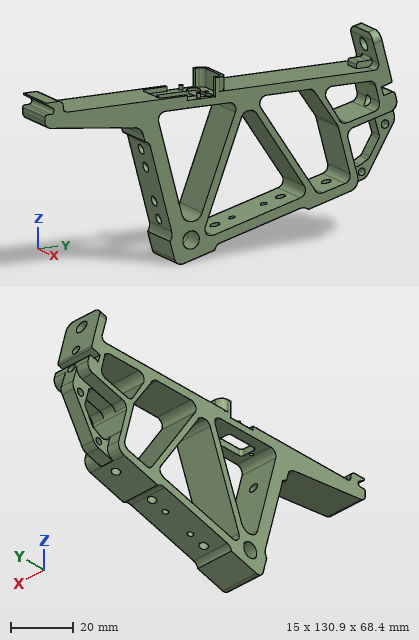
import cadquery as cq
import math


WIDTH = 15.0
TAB_WIDTH = 5.2
TILT = math.radians(15)

ALONG_BOTTOM = (math.cos(TILT), math.sin(TILT))
ALONG_GRIP = (math.sin(TILT), -math.cos(TILT))
UP_INTO_BOTTOM = (-math.sin(TILT), math.cos(TILT))
BACK_INTO_GRIP = ALONG_BOTTOM
FORWARD_INTO_PLATE = (-math.cos(TILT), -math.sin(TILT))

WINDOW_R = 2.5

PLATE_TOP_REAR = (122.8, 12.7)
PLATE_TOP_FRONT = (120.2, 12.0)
PLATE_FOOT = (123.0, 0)
FRAME = [
    (*PLATE_TOP_REAR, 0), (*PLATE_TOP_FRONT, 0), (120.2, 10.0, 0), (*PLATE_FOOT, 1.7),
    (6.7, 0, 1.6), (6.7, 3.9, 1.8), (0.4, 3.9, 0), (0.4, 3.4, 0),
    (6.0, 0, 1.0), (0, 0, 0.8), (0, -4.5, 2.4),
    (35.4, -8.5, 3.7), (48.2, -56.3, 2.6), (115.6, -38.1, 3.7),
    (110.5, -18.7, 2.6), (129.8, -13.6, 3.1),
    (128.2, -7.7, 1.0), (124.3, -8.8, 0), (123.4, -5.9, 0), (127.4, -4.7, 0.5),
]
TAB = [
    (125.5, -10.7, 0), (129.0, -10.7, 0), (131.2, -18.5, 3.7), (120.5, -36.8, 3.9),
    (112.4, -39.0, 0), (109.8, -18.9, 0),
]
TAB_WINDOW = [
    (123.1, -15.5, 2.0), (110.5, -18.7, 2.6), (114.6, -34.3, 3.3), (121.5, -30.4, 2.0), (125.5, -23.7, 1.3),
]
REAR_WINDOW = [
    (120.9, -3.4, WINDOW_R), (101.0, -3.4, WINDOW_R), (109.1, -16.6, WINDOW_R), (123.2, -13.1, WINDOW_R),
]
LONG_WINDOW = [
    (98.2, -3.4, WINDOW_R), (76.6, -3.4, WINDOW_R), (100.2, -38.8, WINDOW_R),
    (112.5, -35.6, WINDOW_R), (107.5, -16.9, WINDOW_R),
]
MIDDLE_WINDOW = [
    (76.7, -7.7, WINDOW_R), (72.8, -7.7, WINDOW_R), (57.1, -48.7, WINDOW_R), (97.0, -38.1, WINDOW_R),
]
GRIP_WINDOW = [(71.1, -4.2, WINDOW_R), (40.9, -4.2, WINDOW_R), (53.3, -50.8, 3.9)]

RECESS_DEPTH = 1.5
GRIP_RECESS_TOP = (36.7, -13.5)
GRIP_RECESS_LENGTH = 35.4
GRIP_RECESS_RADII = (2.1, 3.9)
BOTTOM_RECESS_FRONT = (62.3, -52.4)
BOTTOM_RECESS_LENGTH = 35.5
BOTTOM_RECESS_RADII = (2.6, 3.9)

PIVOT_HOLE = (53.6, -48.1, 6.0)
TAB_HOLES = [(127.4, -19.8, 2.8), (118.9, -34.6, 2.5)]
WEB_HOLE_D = 3.4
WEB_HOLE_DEPTH = 7.2
BOTTOM_HOLE_D = 3.1
SMALL_HOLE_D = 2.1
BORE_DEPTH = 1.5
BLIND_DEPTH = 2.1
OUTER_HOLE_OFFSET = 12.5
INNER_HOLE_OFFSET = 6.0
GRIP_ROW_MIDDLE = (42.5, -29.9)
BOTTOM_ROW_MIDDLE = (79.4, -46.4)
REAR_BOTTOM_HOLE = (108.2, -40.2)
PLATE_HOLE = (124.0, 7.9, 4.6)
PLATE_HOLE_DEPTH = 5.2
NOTCH_HOLES = [(126.8, -2.2, 3.1), (128.7, -10.1, 3.1)]
NOTCH_HOLE_DEPTH = 7.9

PLATE_CORNER_R = 3.1
LIP_WIDTH = 5.9
LIP_HEIGHT = 2.2
LIP_FRONT = 116.8
LIP_R = 0.9

SEAT_DEPTH = 1.6
SEAT_WIDTH = 12.3
SEAT_FRONT, SEAT_REAR = 42.8, 65.6
SEAT_R = 1.7
SIDE_OPENING_FRONT, SIDE_OPENING_REAR = 52.3, 62.6
WALL = 1.2
WALL_HEIGHT = 4.7
SLOT_WIDTH = 6.7
SLOT_FRONT, SLOT_REAR = 46.4, 59.0
SLOT_R = 1.2
SLOT_CUT_DEPTH = 5.2
LOBE_D = 4.5
LOBE_X, LOBE_Y = 3.9, 60.8
LOBE_NECK_REAR = 62.1
LOBE_DEPTH = 0.9
PIN_D = 1.3
PINS = [(-5.9, 57.2), (5.9, 57.2)]
SEAT_HOLE_D = 1.3
SEAT_HOLES_Y = (63.3, 45.2)


def unit(start, end):
    length = math.dist(start, end)
    return ((end[0] - start[0]) / length, (end[1] - start[1]) / length)


def shift(point, direction, distance):
    return (point[0] + direction[0] * distance, point[1] + direction[1] * distance)


def rounded_prism(corners, width):
    """Extrude a polygon of (Y, Z, radius) corners symmetrically along X."""
    arcs = []
    for i, (y, z, radius) in enumerate(corners):
        corner = (y, z)
        to_last = unit(corner, corners[i - 1][:2])
        to_next = unit(corner, corners[(i + 1) % len(corners)][:2])
        half_angle = math.acos(to_last[0] * to_next[0] + to_last[1] * to_next[1]) / 2
        tangent = radius / math.tan(half_angle)
        bisector = unit((0, 0), shift(to_last, to_next, 1))
        middle = shift(corner, bisector, radius / math.sin(half_angle) - radius)
        arcs.append((shift(corner, to_last, tangent), middle, shift(corner, to_next, tangent), radius))
    outline = cq.Workplane("YZ").moveTo(*arcs[0][2])
    for begin, middle, end, radius in arcs[1:] + arcs[:1]:
        outline = outline.lineTo(*begin)
        if radius > 0:
            outline = outline.threePointArc(middle, end)
    return outline.close().extrude(width / 2, both=True)


def cross_hole(y, z, diameter):
    return cq.Workplane("YZ").center(y, z).circle(diameter / 2).extrude(WIDTH, both=True)


def drill(point, direction, diameter, depth):
    """Cylinder in the X = 0 plane that enters at a surface point and starts 1 unit outside it."""
    clearance = 1.3
    start = shift(point, direction, -clearance)
    return cq.Workplane(cq.Solid.makeCylinder(
        diameter / 2, depth + clearance, cq.Vector(0, *start), cq.Vector(0, *direction)))


def edge_recess(start, along, inward, length, radii):
    """Shallow cut of a given length along an outer face, ending in an arc at each end."""
    outside = 2.6
    first, last = [r - math.sqrt(r ** 2 - (r - RECESS_DEPTH) ** 2) for r in radii]
    begin = shift(start, along, -first)
    end = shift(start, along, length + last)
    return rounded_prism([
        (*shift(begin, inward, RECESS_DEPTH), radii[0]),
        (*shift(end, inward, RECESS_DEPTH), radii[1]),
        (*shift(end, inward, -outside), 0),
        (*shift(begin, inward, -outside), 0),
    ], WIDTH)


def block(width, front, rear, bottom, top):
    size = (width, rear - front, top - bottom)
    return cq.Workplane("XY", origin=(0, front, bottom)).box(*size, centered=(True, False, False))


def build_frame():
    frame = rounded_prism(FRAME, WIDTH)
    middle_y = (PLATE_TOP_REAR[0] + PLATE_TOP_FRONT[0]) / 2
    middle_z = (PLATE_TOP_REAR[1] + PLATE_TOP_FRONT[1]) / 2
    for x in (-WIDTH / 2, WIDTH / 2):
        end_edge = cq.selectors.NearestToPointSelector((x, middle_y, middle_z))
        frame = frame.edges(end_edge).fillet(PLATE_CORNER_R)
    frame = frame.union(rounded_prism(TAB, TAB_WIDTH))
    for window in (TAB_WINDOW, REAR_WINDOW, LONG_WINDOW, MIDDLE_WINDOW, GRIP_WINDOW):
        frame = frame.cut(rounded_prism(window, WIDTH))
    frame = frame.cut(edge_recess(GRIP_RECESS_TOP, ALONG_GRIP, BACK_INTO_GRIP, GRIP_RECESS_LENGTH,
                                  GRIP_RECESS_RADII))
    return frame.cut(edge_recess(BOTTOM_RECESS_FRONT, ALONG_BOTTOM, UP_INTO_BOTTOM, BOTTOM_RECESS_LENGTH,
                                 BOTTOM_RECESS_RADII))


def add_lip(frame):
    top_corner = shift(PLATE_FOOT, ALONG_GRIP, -LIP_HEIGHT / math.cos(TILT))
    blend_top = shift(top_corner, ALONG_GRIP, -LIP_R)
    inside_plate = PLATE_FOOT[0] + LIP_R
    bottom = -LIP_R
    lip = rounded_prism([
        (LIP_FRONT, bottom, 0), (LIP_FRONT, LIP_HEIGHT, LIP_R), (*top_corner, LIP_R),
        (*blend_top, 0), (inside_plate, blend_top[1], 0), (inside_plate, bottom, 0),
    ], LIP_WIDTH)
    return frame.union(lip)


def drill_holes(frame):
    for hole in [PIVOT_HOLE] + TAB_HOLES:
        frame = frame.cut(cross_hole(*hole))
    for side in (-1, 1):
        grip_outer = shift(GRIP_ROW_MIDDLE, ALONG_GRIP, side * OUTER_HOLE_OFFSET)
        grip_inner = shift(GRIP_ROW_MIDDLE, ALONG_GRIP, side * INNER_HOLE_OFFSET)
        bottom_outer = shift(BOTTOM_ROW_MIDDLE, ALONG_BOTTOM, side * OUTER_HOLE_OFFSET)
        bottom_inner = shift(BOTTOM_ROW_MIDDLE, ALONG_BOTTOM, side * INNER_HOLE_OFFSET)
        frame = frame.cut(drill(grip_outer, BACK_INTO_GRIP, WEB_HOLE_D, WEB_HOLE_DEPTH))
        frame = frame.cut(drill(grip_inner, BACK_INTO_GRIP, WEB_HOLE_D, BORE_DEPTH))
        frame = frame.cut(drill(grip_inner, BACK_INTO_GRIP, SMALL_HOLE_D, BLIND_DEPTH))
        frame = frame.cut(drill(bottom_outer, UP_INTO_BOTTOM, BOTTOM_HOLE_D, WEB_HOLE_DEPTH))
        frame = frame.cut(drill(bottom_inner, UP_INTO_BOTTOM, SMALL_HOLE_D, WEB_HOLE_DEPTH))
    frame = frame.cut(drill(REAR_BOTTOM_HOLE, UP_INTO_BOTTOM, BOTTOM_HOLE_D, WEB_HOLE_DEPTH))
    for y, z, diameter in NOTCH_HOLES:
        frame = frame.cut(drill((y, z), FORWARD_INTO_PLATE, diameter, NOTCH_HOLE_DEPTH))
    y, z, diameter = PLATE_HOLE
    return frame.cut(drill((y, z), FORWARD_INTO_PLATE, diameter, PLATE_HOLE_DEPTH))


def add_seat(frame):
    floor = -SEAT_DEPTH
    pocket = block(SEAT_WIDTH, SEAT_FRONT, SEAT_REAR, floor, WALL_HEIGHT).edges("|Z").fillet(SEAT_R)
    opening = block(WIDTH, SIDE_OPENING_FRONT, SIDE_OPENING_REAR, floor, WALL_HEIGHT)
    wall = block(WIDTH, SIDE_OPENING_REAR, SEAT_REAR + WALL, floor, WALL_HEIGHT)
    wall = wall.edges("|Z and >Y").fillet(SEAT_R + WALL)
    frame = frame.union(wall).cut(pocket).cut(opening)

    for x, y in PINS:
        pin = cq.Workplane("XY", origin=(x, y, floor)).circle(PIN_D / 2).extrude(SEAT_DEPTH)
        frame = frame.union(pin)

    for y in SEAT_HOLES_Y:
        seat_hole = cq.Workplane("XY", origin=(0, y, -SLOT_CUT_DEPTH)).circle(SEAT_HOLE_D / 2)
        frame = frame.cut(seat_hole.extrude(SLOT_CUT_DEPTH))

    lobe_floor = floor - LOBE_DEPTH
    lobes = block(2 * LOBE_X, LOBE_Y - LOBE_D / 2, LOBE_NECK_REAR, lobe_floor, floor)
    for x in (-LOBE_X, LOBE_X):
        lobe = cq.Workplane("XY", origin=(x, LOBE_Y, lobe_floor)).circle(LOBE_D / 2).extrude(LOBE_DEPTH)
        lobes = lobes.union(lobe)
    frame = frame.cut(lobes.clean())
    slot = block(SLOT_WIDTH, SLOT_FRONT, SLOT_REAR, -SLOT_CUT_DEPTH, floor).edges("|Z").fillet(SLOT_R)
    return frame.cut(slot)


result = add_seat(drill_holes(add_lip(build_frame())))